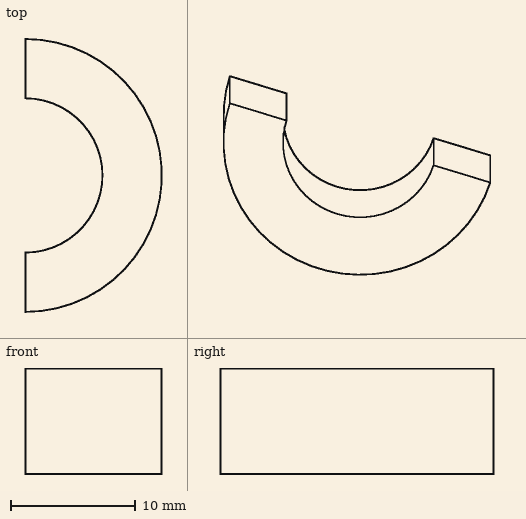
import cadquery as cq

outer_diameter = 22.0
bore_diameter = 12.4
height = 8.5

outer_radius = outer_diameter / 2
bore_radius = bore_diameter / 2

result = (
    cq.Workplane("XY")
    .moveTo(0, -outer_radius)
    .threePointArc((outer_radius, 0), (0, outer_radius))
    .lineTo(0, bore_radius)
    .threePointArc((bore_radius, 0), (0, -bore_radius))
    .close()
    .extrude(height)
)